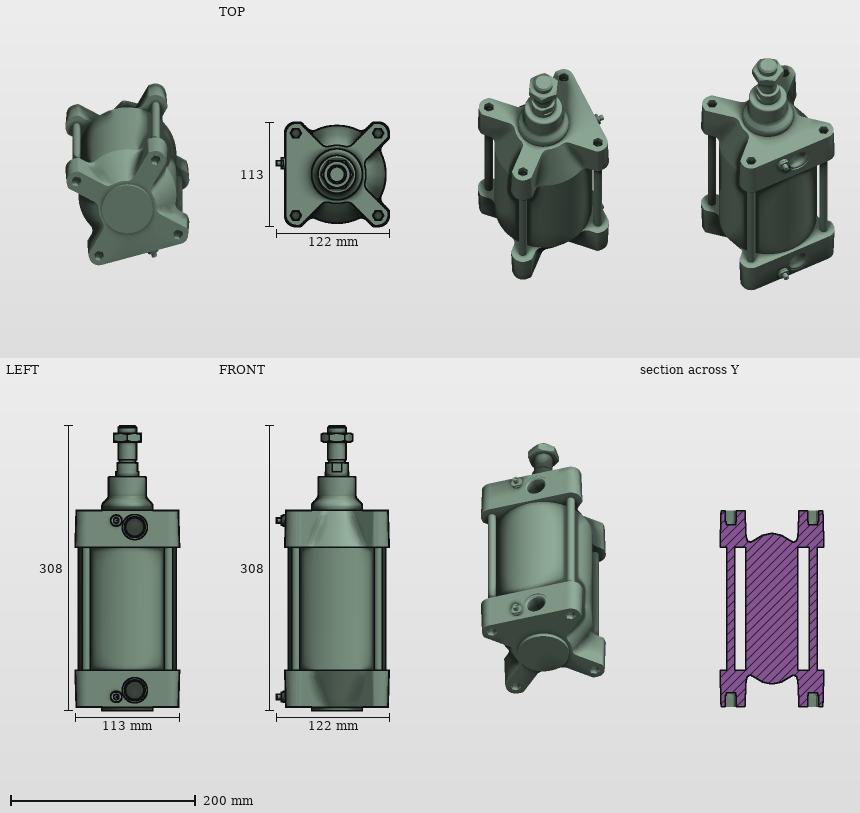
import cadquery as cq
import math

TOLERANCE = 3.08e-06

TOTAL_HEIGHT = 308.0
REAR_PILOT_HEIGHT = 4.0
CAP_HEIGHT = 40.0
FRONT_CAP_TOP = 216.8
FRONT_CAP_BOTTOM = FRONT_CAP_TOP - CAP_HEIGHT
REAR_CAP_TOP = REAR_PILOT_HEIGHT + CAP_HEIGHT

BARREL_DIAMETER = 106.0
TIE_ROD_DIAMETER = 9.0
TIE_ROD_SPACING = 89.0
SOCKET_ACROSS_FLATS = 10.2
SOCKET_DEPTH = 12.3
SOCKET_BORE_DIAMETER = 10.0
SOCKET_BORE_DEPTH = 15.5

CAP_WIDTH = 113.0
CAP_DRAFT = 1.7
CAP_CORNER_RADIUS = (CAP_WIDTH - TIE_ROD_SPACING) / 2
ARM_HALF_WIDTH = 12.3
ARM_EDGE_RADIUS = 4.0
HUB_CONE_TOP_DIAMETER = 62.8
HUB_FILLET = 7.7
NOTCH_CORNER = ARM_HALF_WIDTH * math.sqrt(2)

CAP_FACE_X = -CAP_WIDTH / 2
PORT_Y = -8.0
PORT_HEIGHT = 22.0
PORT_DIAMETER = 20.0
PORT_CHAMFER = 1.2
PORT_DEPTH = 24.5
SPOTFACE_DIAMETER = 27.0
SPOTFACE_X = -55.0
SCREW_Y = 12.0
SCREW_HEIGHT = 29.0
SCREW_DIAMETER = 6.0
SCREW_LENGTH = 9.0
SCREW_TIP_X = CAP_FACE_X - SCREW_LENGTH
FLANGE_DIAMETER = 12.0
FLANGE_FACE_X = -60.0
FLANGE_ACROSS_FLATS = 10.2
FLANGE_FLATS_LENGTH = 2.0
SLOT_WIDTH = 1.0
SLOT_DEPTH = 1.0

PILOT_DIAMETER = 55.0
GLAND_DIAMETER = 41.0
GLAND_TOP = 253.2
GLAND_RIM_RADIUS = 2.0
GLAND_CONE_BOTTOM = 223.3
GLAND_CONE_FILLET = 5.0

ROD_DIAMETER = 25.0
ROD_NECK_DIAMETER = 24.5
ROD_NECK_BOTTOM = 258.7
SHANK_CHAMFER_HEIGHT = 1.0
ROD_SHOULDER = 268.0
FLATS_WIDTH = 22.2
RELIEF_DIAMETER = 18.0
THREAD_DIAMETER = 20.0
THREAD_BOTTOM = 271.5
THREAD_CHAMFER = 2.0

NUT_ACROSS_FLATS = 30.0
NUT_HEIGHT = 10.0
NUT_BOTTOM = 290.5
NUT_FACE_DIAMETER = 29.0
NUT_CHAMFER_ANGLE = 30.0


def cylinder(diameter, bottom, top):
    return cq.Workplane("XY", origin=(0, 0, bottom)).circle(diameter / 2).extrude(top - bottom)


def side_cylinder(diameter, y, z, start_x, end_x):
    """Cylinder along X."""
    return cq.Workplane("YZ", origin=(start_x, y, z)).circle(diameter / 2).extrude(end_x - start_x)


def hexagon_corner_diameter(across_flats):
    return across_flats / math.cos(math.pi / 6)


def cap_outline():
    """Rounded square with a V notch in every side but -X, which leaves four diagonal arms."""
    half = CAP_WIDTH / 2
    arm_end = half - NOTCH_CORNER
    points = [
        (-half, -half), (-arm_end, -half), (0, -NOTCH_CORNER), (arm_end, -half),
        (half, -half), (half, -arm_end), (NOTCH_CORNER, 0), (half, arm_end),
        (half, half), (arm_end, half), (0, NOTCH_CORNER), (-arm_end, half), (-half, half),
    ]
    face = cq.Face.makeFromWires(cq.Wire.makePolygon([cq.Vector(x, y) for x, y in points], close=True))

    def vertices_at(nearer_coordinate):
        """Points on the square's sides whose smaller coordinate has the given size."""
        return [
            v for v in face.Vertices()
            if math.isclose(max(abs(v.X), abs(v.Y)), half, abs_tol=TOLERANCE)
            and math.isclose(min(abs(v.X), abs(v.Y)), nearer_coordinate, abs_tol=TOLERANCE)
        ]

    square_corners = vertices_at(half)
    arm_ends = vertices_at(arm_end)
    return face.fillet2D(CAP_CORNER_RADIUS, square_corners).fillet2D(ARM_EDGE_RADIUS, arm_ends).outerWire()


def cap_body():
    """Drafted plate with arms, blended into a conical hub that carries the barrel."""
    plate = cq.Solid.extrudeLinear(cap_outline(), [], cq.Vector(0, 0, CAP_HEIGHT), CAP_DRAFT)
    hub = cq.Solid.makeCone(BARREL_DIAMETER / 2, HUB_CONE_TOP_DIAMETER / 2, CAP_HEIGHT)
    body = cq.Workplane(plate).union(cq.Workplane(hub))
    hub_seams = body.faces("%CONE").edges().filter(lambda edge: edge.BoundingBox().zlen > CAP_HEIGHT / 2)
    return hub_seams.fillet(HUB_FILLET)


def cut_port(cap):
    """Chamfered blind port in a shallow spotface."""
    spotface = side_cylinder(SPOTFACE_DIAMETER, PORT_Y, PORT_HEIGHT, SPOTFACE_X, CAP_FACE_X)
    port = side_cylinder(PORT_DIAMETER, PORT_Y, PORT_HEIGHT, SPOTFACE_X, SPOTFACE_X + PORT_DEPTH)
    port_mouth = (
        cq.Workplane("YZ", origin=(SPOTFACE_X, PORT_Y, PORT_HEIGHT))
        .circle(PORT_DIAMETER / 2 + PORT_CHAMFER)
        .workplane(offset=PORT_CHAMFER)
        .circle(PORT_DIAMETER / 2)
        .loft()
    )
    return cap.cut(spotface).cut(port).cut(port_mouth)


def cushion_screw():
    """Screw with two wrench flats on its flange and a slot from the middle of its tip to the -Y rim."""
    root_x = CAP_FACE_X + CAP_CORNER_RADIUS
    flange = side_cylinder(FLANGE_DIAMETER, SCREW_Y, SCREW_HEIGHT, FLANGE_FACE_X, root_x)
    pin = side_cylinder(SCREW_DIAMETER, SCREW_Y, SCREW_HEIGHT, SCREW_TIP_X, root_x)
    flats = (
        cq.Workplane("YZ", origin=(FLANGE_FACE_X, SCREW_Y, SCREW_HEIGHT))
        .rect(2 * FLANGE_DIAMETER, 2 * FLANGE_DIAMETER)
        .rect(2 * FLANGE_DIAMETER, FLANGE_ACROSS_FLATS)
        .extrude(FLANGE_FLATS_LENGTH)
    )
    slot = cq.Workplane("XY").box(SLOT_DEPTH, SCREW_DIAMETER, SLOT_WIDTH, centered=(False, False, True))
    slot = slot.translate((SCREW_TIP_X, SCREW_Y - SCREW_DIAMETER, SCREW_HEIGHT))
    return flange.cut(flats).union(pin).cut(slot)


def tie_rod_places(bottom):
    """Workplane with a point on each of the four tie rod axes."""
    return (
        cq.Workplane("XY", origin=(0, 0, bottom))
        .rect(TIE_ROD_SPACING, TIE_ROD_SPACING, forConstruction=True)
        .vertices()
    )


def cut_sockets(cap):
    """Hexagon sockets on the tie rod axes, sunk into the outer face and ending in a round bore."""
    corner_diameter = hexagon_corner_diameter(SOCKET_ACROSS_FLATS)
    sockets = tie_rod_places(CAP_HEIGHT - SOCKET_DEPTH).polygon(6, corner_diameter).extrude(SOCKET_DEPTH)
    bores = tie_rod_places(CAP_HEIGHT - SOCKET_BORE_DEPTH).circle(SOCKET_BORE_DIAMETER / 2)
    return cap.cut(sockets).cut(bores.extrude(SOCKET_BORE_DEPTH))


def make_cap():
    """End cap with its joint face at Z = 0 and its outer face at the top."""
    return cut_sockets(cut_port(cap_body()).union(cushion_screw()))


def make_gland():
    """Front pilot that necks down through a rounded 45 degree cone to the rod gland."""
    pilot_radius = PILOT_DIAMETER / 2
    gland_radius = GLAND_DIAMETER / 2
    cone_top = GLAND_CONE_BOTTOM + pilot_radius - gland_radius
    gland = (
        cq.Workplane("XZ")
        .moveTo(0, FRONT_CAP_TOP)
        .lineTo(pilot_radius, FRONT_CAP_TOP)
        .lineTo(pilot_radius, GLAND_CONE_BOTTOM)
        .lineTo(gland_radius, cone_top)
        .lineTo(gland_radius, GLAND_TOP)
        .lineTo(0, GLAND_TOP)
        .close()
        .revolve(360, (0, 0, 0), (0, 1, 0))
    )
    gland = gland.faces("%CONE").edges("%CIRCLE").fillet(GLAND_CONE_FILLET)
    return gland.faces(">Z").edges().fillet(GLAND_RIM_RADIUS)


def make_tie_rods():
    tie_rods = tie_rod_places(REAR_CAP_TOP).circle(TIE_ROD_DIAMETER / 2)
    return tie_rods.extrude(FRONT_CAP_BOTTOM - REAR_CAP_TOP)


def make_housing():
    """Caps, barrel, tie rods and gland, with a seat for the piston rod."""
    cap = make_cap()
    front_cap = cap.translate((0, 0, FRONT_CAP_BOTTOM))
    rear_cap = cap.mirror("XY").translate((0, 0, REAR_CAP_TOP))
    barrel = cylinder(BARREL_DIAMETER, REAR_CAP_TOP, FRONT_CAP_BOTTOM)
    rear_pilot = cylinder(PILOT_DIAMETER, 0, REAR_PILOT_HEIGHT)
    housing = barrel.union(front_cap).union(rear_cap).union(rear_pilot)
    housing = housing.union(make_tie_rods()).union(make_gland())
    return housing.cut(cylinder(ROD_DIAMETER, FRONT_CAP_TOP, GLAND_TOP))


def make_piston_rod():
    """Rod with a neck with wrench flats, a thread relief and a chamfered thread end."""
    shank = cylinder(ROD_DIAMETER, FRONT_CAP_TOP, ROD_NECK_BOTTOM)
    shank_step = (ROD_DIAMETER - ROD_NECK_DIAMETER) / 2
    shank = shank.faces(">Z").edges().chamfer(SHANK_CHAMFER_HEIGHT, shank_step)
    neck = cylinder(ROD_NECK_DIAMETER, ROD_NECK_BOTTOM, ROD_SHOULDER)
    relief = cylinder(RELIEF_DIAMETER, ROD_SHOULDER, THREAD_BOTTOM)
    thread = cylinder(THREAD_DIAMETER, THREAD_BOTTOM, TOTAL_HEIGHT)
    thread = thread.faces(">Z").edges().chamfer(THREAD_CHAMFER)
    flats = (
        cq.Workplane("XY", origin=(0, 0, ROD_NECK_BOTTOM))
        .rect(2 * ROD_DIAMETER, 2 * ROD_DIAMETER)
        .rect(2 * ROD_DIAMETER, FLATS_WIDTH)
        .extrude(ROD_SHOULDER - ROD_NECK_BOTTOM)
    )
    return shank.union(neck.cut(flats)).union(relief).union(thread)


def make_nut():
    """Hexagon lock nut with both faces turned to a chamfer, bored to the thread diameter."""
    corner_diameter = hexagon_corner_diameter(NUT_ACROSS_FLATS)
    nut_top = NUT_BOTTOM + NUT_HEIGHT
    chamfer_width = (corner_diameter - NUT_FACE_DIAMETER) / 2
    chamfer_height = chamfer_width * math.tan(math.radians(NUT_CHAMFER_ANGLE))
    hexagon = cq.Workplane("XY", origin=(0, 0, NUT_BOTTOM)).polygon(6, corner_diameter).extrude(NUT_HEIGHT)
    turned_blank = (
        cylinder(corner_diameter, NUT_BOTTOM, nut_top)
        .edges("%CIRCLE")
        .chamfer(chamfer_height, chamfer_width)
    )
    return hexagon.intersect(turned_blank).cut(cylinder(THREAD_DIAMETER, NUT_BOTTOM, nut_top))


housing = make_housing()
piston_rod = make_piston_rod()
nut = make_nut()

result = cq.Compound.makeCompound([housing.val(), piston_rod.val(), nut.val()])